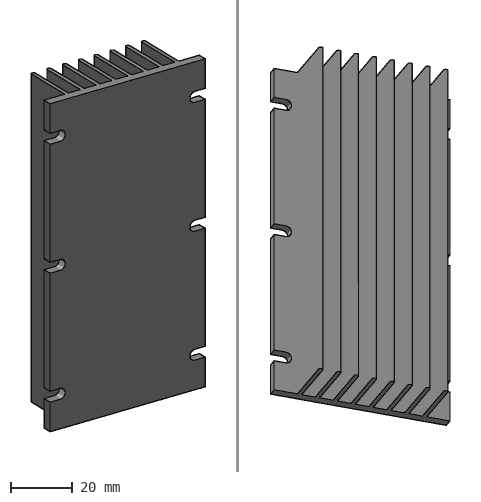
import cadquery as cq

depth = 22.9
width = 61.0
length = 116.8

plate_thickness = 3.4
fin_count = 8
fin_pitch = 6.2
fin_thickness = 1.5
tip_radius = fin_thickness / 2
root_radius = 0.2

slot_width = 3.9
slot_depth = 6.0
slot_spacing = 45.9
slot_rows = 3

plate_front_x = depth / 2 - plate_thickness
plate_center_x = depth / 2 - plate_thickness / 2


def make_plate():
    return cq.Workplane("XY").box(plate_thickness, width, length).translate((plate_center_x, 0, 0))


def make_fin(y):
    """Full-length fin with a half-round tip, standing on the plate."""
    tip_x = -depth / 2
    return (
        cq.Workplane("XY", origin=(0, y, -length / 2))
        .moveTo(plate_front_x, tip_radius)
        .lineTo(tip_x + tip_radius, tip_radius)
        .threePointArc((tip_x, 0), (tip_x + tip_radius, -tip_radius))
        .lineTo(plate_front_x, -tip_radius)
        .close()
        .extrude(length)
    )


def make_slot(side, z):
    """Round-ended cutter through the plate; its outer half-round lies beyond the edge."""
    cutter_length = 2 * slot_depth
    cutter = cq.Workplane("YZ").slot2D(cutter_length, slot_width).extrude(plate_thickness)
    return cutter.translate((plate_front_x, side * width / 2, z))


result = make_plate()

for index in range(fin_count):
    result = result.union(make_fin((index - (fin_count - 1) / 2) * fin_pitch))

fin_roots = cq.selectors.BoxSelector(
    (plate_front_x - root_radius, -width / 2 + root_radius, -length),
    (plate_front_x + root_radius, width / 2 - root_radius, length),
)
result = result.edges("|Z").edges(fin_roots).fillet(root_radius)

for row in range(slot_rows):
    slot_z = (row - (slot_rows - 1) / 2) * slot_spacing
    for side in (-1, 1):
        result = result.cut(make_slot(side, slot_z))